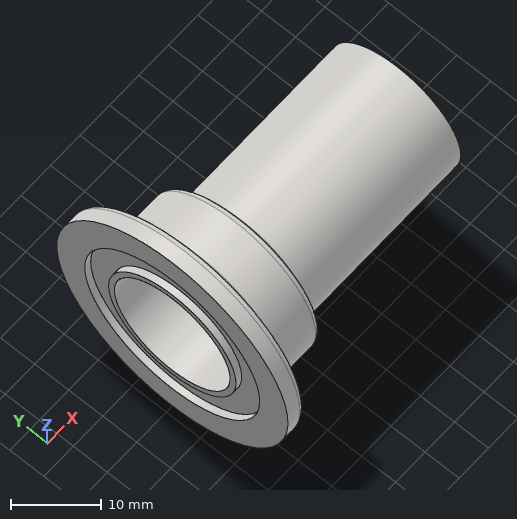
import cadquery as cq
import math

total_length = 38.0
rim_width = 2.62
hub_end = 11.27

flange_diameter = 34.0
hub_diameter = 24.0
tube_diameter = 19.0
bore_diameter = 17.0
groove_outer_diameter = 25.7
groove_inner_diameter = 18.7

cone_angle = 15.0
edge_radius = 0.8
groove_depth = 1.0

flange_radius = flange_diameter / 2
hub_radius = hub_diameter / 2
tube_radius = tube_diameter / 2
cone_length = (flange_radius - hub_radius) * math.tan(math.radians(cone_angle))
cone_end = rim_width + cone_length


def is_circle_at(edge, x, radius):
    """True for the circular edge of this radius lying in the plane at this x."""
    tolerance = 0.01
    return abs(edge.Center().x - x) < tolerance and abs(edge.radius() - radius) < tolerance


def make_body():
    """Solid of revolution: flange, conical back, hub and tube, with rounded corners."""
    body = (
        cq.Workplane("XZ")
        .moveTo(0, 0)
        .lineTo(0, flange_radius)
        .lineTo(rim_width, flange_radius)
        .lineTo(cone_end, hub_radius)
        .lineTo(hub_end, hub_radius)
        .lineTo(hub_end, tube_radius)
        .lineTo(total_length, tube_radius)
        .lineTo(total_length, 0)
        .close()
        .revolve(360, (0, 0, 0), (1, 0, 0))
    )
    corners = (
        (rim_width, flange_radius),
        (cone_end, hub_radius),
        (hub_end, hub_radius),
        (hub_end, tube_radius),
    )
    rounded_edges = body.edges("%CIRCLE").filter(
        lambda edge: any(is_circle_at(edge, x, radius) for x, radius in corners)
    )
    return rounded_edges.fillet(edge_radius)


def make_bore():
    """Through bore along the whole part."""
    return cq.Workplane("YZ").circle(bore_diameter / 2).extrude(total_length)


def make_seal_groove():
    """Ring groove in the flange face, leaving a thin lip around the bore."""
    return (
        cq.Workplane("YZ")
        .circle(groove_outer_diameter / 2)
        .circle(groove_inner_diameter / 2)
        .extrude(groove_depth)
    )


result = make_body().cut(make_bore()).cut(make_seal_groove())